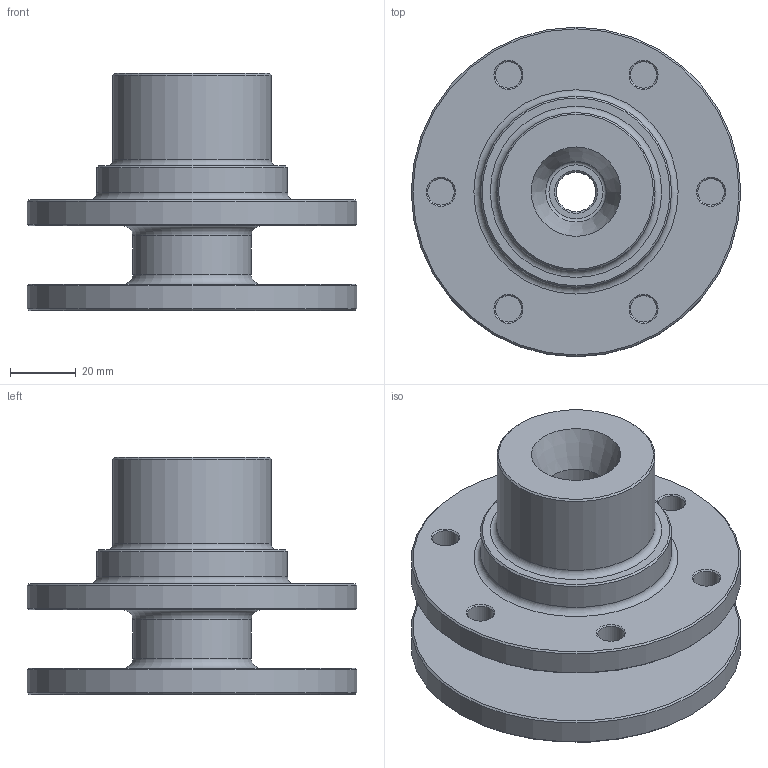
import cadquery as cq
import math

flange_diameter = 100.0
flange_thickness = 8.0
neck_diameter = 36.0
neck_length = 17.7
neck_fillet = 3.0

collar_diameter = 58.0
collar_height = 10.2
boss_diameter = 48.0
total_height = 72.0
step_fillet = 2.0

edge_break = 0.5

through_diameter = 12.0
counterbore_diameter = 18.4
counterbore_floor_fillet = 1.0
mouth_depth = 12.0
mouth_half_angle = 20.0
counterbore_depth = 38.0

bolt_count = 6
bolt_hole_diameter = 8.0
bolt_sink_diameter = 8.8
bolt_sink_angle = 90.0
bolt_circle_diameter = 82.0

selection_margin = 0.1

neck_bottom = flange_thickness
neck_top = neck_bottom + neck_length
collar_bottom = neck_top + flange_thickness
boss_bottom = collar_bottom + collar_height
mouth_bottom = total_height - mouth_depth
counterbore_floor = total_height - counterbore_depth


def disc(diameter, bottom, top):
    """Cylinder on the Z axis between two levels."""
    return cq.Workplane("XY").workplane(offset=bottom).circle(diameter / 2).extrude(top - bottom)


def rim(diameter, level):
    """Selector for the edges at one level that lie within one diameter."""
    reach = diameter / 2 + selection_margin
    low_corner = (-reach, -reach, level - selection_margin)
    high_corner = (reach, reach, level + selection_margin)
    return cq.selectors.BoxSelector(low_corner, high_corner, boundingbox=True)


def flange(bottom):
    """Flange disc with both rims broken."""
    return disc(flange_diameter, bottom, bottom + flange_thickness).edges().chamfer(edge_break)


def stepped_body():
    """Flanges, neck, collar and boss with filleted inner corners."""
    neck = disc(neck_diameter, neck_bottom, neck_top)
    collar = disc(collar_diameter, collar_bottom, boss_bottom).faces(">Z").edges().chamfer(edge_break)
    boss = disc(boss_diameter, boss_bottom, total_height).faces(">Z").edges().chamfer(edge_break)
    body = flange(0).union(neck).union(flange(neck_top)).union(collar).union(boss)
    corners = (
        (neck_diameter, neck_bottom, neck_fillet),
        (neck_diameter, neck_top, neck_fillet),
        (collar_diameter, collar_bottom, step_fillet),
        (boss_diameter, boss_bottom, step_fillet),
    )
    for diameter, level, radius in corners:
        body = body.edges(rim(diameter, level)).fillet(radius)
    return body


def axial_bore():
    """Solid to remove: through hole, counterbore and conical mouth, revolved about Z."""
    through_radius = through_diameter / 2
    counterbore_radius = counterbore_diameter / 2
    mouth_radius = counterbore_radius + mouth_depth * math.tan(math.radians(mouth_half_angle))
    fillet = counterbore_floor_fillet
    fillet_inset = fillet * (1 - math.sqrt(0.5))
    profile = (
        cq.Workplane("XZ")
        .lineTo(through_radius, 0)
        .lineTo(through_radius, counterbore_floor - edge_break)
        .lineTo(through_radius + edge_break, counterbore_floor)
        .lineTo(counterbore_radius - fillet, counterbore_floor)
        .threePointArc(
            (counterbore_radius - fillet_inset, counterbore_floor + fillet_inset),
            (counterbore_radius, counterbore_floor + fillet),
        )
        .lineTo(counterbore_radius, mouth_bottom)
        .lineTo(mouth_radius, total_height)
        .lineTo(0, total_height)
        .close()
    )
    return profile.revolve(360, (0, 0), (0, 1))


def drill_bolt_holes(body):
    """Cut the ring of through holes in the upper flange, with a small countersink on top."""
    return (
        body.copyWorkplane(cq.Workplane("XY", origin=(0, 0, collar_bottom)))
        .polarArray(bolt_circle_diameter / 2, 0, 360, bolt_count)
        .cskHole(bolt_hole_diameter, bolt_sink_diameter, bolt_sink_angle, depth=flange_thickness)
    )


result = drill_bolt_holes(stepped_body().cut(axial_bore()))